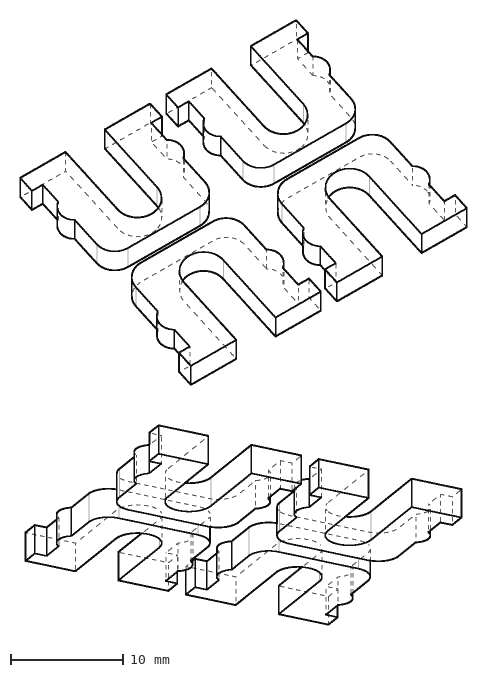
import cadquery as cq

overall_x = 26.03
overall_y = 30.3
thickness = 2.8
column_gap = 2.0
row_gap = 1.75

clip_length = (overall_x - column_gap) / 2
clip_width = (overall_y - row_gap) / 2
tab_length = 1.82
tab_height = 1.18
corner_radius = 2.0
slot_width = 4.3
slot_depth = 10.12
bump_position = 5.42
bump_width = 2.5
bump_height = 0.67

body_width = clip_width - 2 * tab_height
slot_radius = slot_width / 2


def make_body():
    """U-shaped plate with a rounded closed end."""
    plate = (
        cq.Workplane("XY")
        .rect(clip_length, body_width)
        .extrude(thickness)
        .translate((clip_length / 2, 0, 0))
    )
    return plate.edges("|Z and >X").fillet(corner_radius)


def make_tabs():
    """Cross bar whose ends form the outward tabs at the open end."""
    return (
        cq.Workplane("XY")
        .rect(tab_length, clip_width)
        .extrude(thickness)
        .translate((tab_length / 2, 0, 0))
    )


def make_bump(side):
    """Rounded bump on one leg; side is +1 or -1 along Y."""
    leg_face = side * body_width / 2
    root = side * (body_width / 2 - bump_height)
    start = bump_position - bump_width / 2
    end = bump_position + bump_width / 2
    return (
        cq.Workplane("XY")
        .moveTo(start, root)
        .lineTo(start, leg_face)
        .threePointArc((bump_position, leg_face + side * bump_height), (end, leg_face))
        .lineTo(end, root)
        .close()
        .extrude(thickness)
    )


def make_slot():
    """Round-ended slot, open at X = 0."""
    slot_straight = slot_depth - slot_radius
    return (
        cq.Workplane("XY")
        .moveTo(0, -slot_radius)
        .lineTo(slot_straight, -slot_radius)
        .threePointArc((slot_depth, 0), (slot_straight, slot_radius))
        .lineTo(0, slot_radius)
        .close()
        .extrude(thickness)
    )


def make_clip():
    clip = make_body().union(make_tabs())
    for side in (-1, 1):
        clip = clip.union(make_bump(side))
    return clip.cut(make_slot())


row_offset = (clip_width + row_gap) / 2
clips = []
for column_side, turn in ((-1, 0), (1, 180)):
    for row_side in (-1, 1):
        clip = (
            make_clip()
            .rotate((0, 0, 0), (0, 0, 1), turn)
            .translate((column_side * overall_x / 2, row_side * row_offset, 0))
        )
        clips.append(clip.val())

result = cq.Compound.makeCompound(clips)